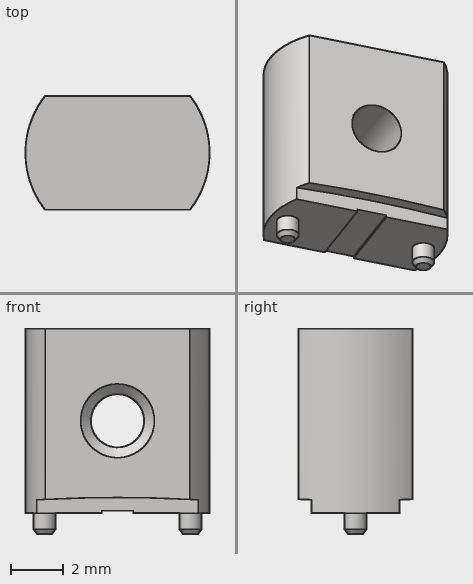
import cadquery as cq
import math

body_diameter = 7.0
body_height = 7.0
body_thickness = 4.33

foot_thickness = 3.35
shoulder_height_middle = 0.59
shoulder_height_end = 0.5

groove_width = 1.18
groove_depth = 0.08

hole_diameter = 2.01
countersink_diameter = 2.8
countersink_depth = (countersink_diameter - hole_diameter) / 2
hole_height = body_height / 2

pin_diameter = 0.84
pin_length = 0.8
pin_spacing = 5.54
pin_chamfer_height = 0.19
pin_chamfer_width = 0.14

body_radius = body_diameter / 2
front_y = -body_thickness / 2


def make_body():
    bar = cq.Workplane("XY").circle(body_radius).extrude(body_height)
    flats = cq.Workplane("XY").box(
        body_diameter, body_thickness, body_height, centered=(True, True, False)
    )
    return bar.intersect(flats)


def make_shoulder_cut(side):
    """Material removed beside the foot; side is -1 for front, +1 for back."""
    foot_half_length = math.sqrt(body_radius**2 - (foot_thickness / 2) ** 2)
    cut_depth = (body_thickness - foot_thickness) / 2
    outer_y = side * body_thickness / 2
    return (
        cq.Workplane("XZ", origin=(0, outer_y, 0))
        .moveTo(-foot_half_length, 0)
        .lineTo(-foot_half_length, shoulder_height_end)
        .threePointArc((0, shoulder_height_middle), (foot_half_length, shoulder_height_end))
        .lineTo(foot_half_length, 0)
        .close()
        .extrude(side * cut_depth)
    )


def make_groove():
    return cq.Workplane("XY").box(
        groove_width, body_thickness, groove_depth, centered=(True, True, False)
    )


def make_cross_hole():
    """Revolved cutter on the hole axis, with its countersink at the front flat."""
    hole_radius = hole_diameter / 2
    profile = [
        (0, front_y),
        (countersink_diameter / 2, front_y),
        (hole_radius, front_y + countersink_depth),
        (hole_radius, -front_y),
        (0, -front_y),
    ]
    cutter = cq.Workplane("XY").polyline(profile).close().revolve(360, (0, 0), (0, 1))
    return cutter.translate((0, 0, hole_height))


def make_pin(x):
    """Pin hanging below the foot, with a tapered tip."""
    pin_radius = pin_diameter / 2
    profile = [
        (0, 0),
        (pin_radius, 0),
        (pin_radius, pin_chamfer_height - pin_length),
        (pin_radius - pin_chamfer_width, -pin_length),
        (0, -pin_length),
    ]
    pin = cq.Workplane("XZ").polyline(profile).close().revolve(360, (0, 0), (0, 1))
    return pin.translate((x, 0, 0))


result = make_body().cut(make_groove()).cut(make_cross_hole())
for side in (-1, 1):
    result = result.cut(make_shoulder_cut(side))
    result = result.union(make_pin(side * pin_spacing / 2))